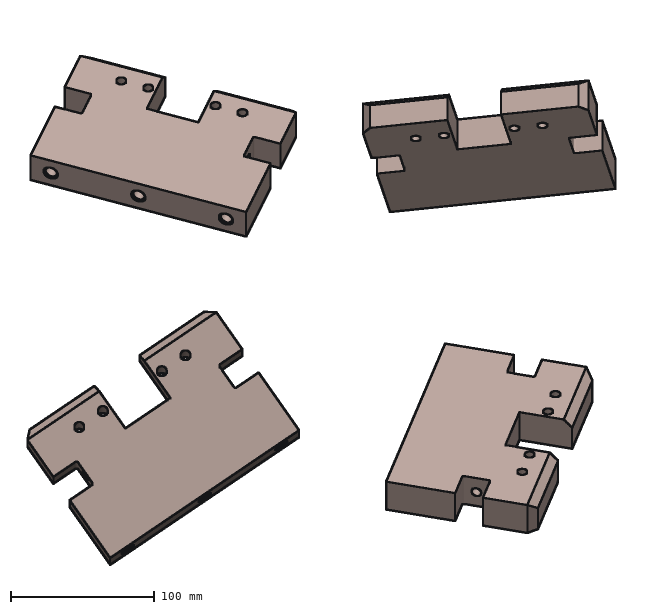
import cadquery as cq
import math

length = 160.0
width = 108.0
height = 25.0
chamfer = 6.0

slot_width = 38.0
slot_depth = 38.0

notch_size = 20.0
notch_front = 50.0
notch_radius = 1.3

pin_diameter = 6.9
pin_offsets = (25.0, 45.0)
pin_setback = 19.0

front_diameter = 8.5
front_mouth_diameter = 10.5
front_depth = 32.0
front_spacing = 65.0

side_diameter = 6.9
side_depth = 24.0

drill_point_angle = 118.0


def drilled_hole(diameter, depth, mouth_diameter):
    """Conical-bottom hole cutter along +Y from the origin, with a 45 degree mouth."""
    radius = diameter / 2
    mouth_radius = mouth_diameter / 2
    point_length = radius / math.tan(math.radians(drill_point_angle / 2))
    profile = cq.Workplane("XY").moveTo(0, 0).lineTo(mouth_radius, 0)
    if mouth_radius > radius:
        profile = profile.lineTo(radius, mouth_radius - radius)
    profile = profile.lineTo(radius, depth).lineTo(0, depth + point_length).close()
    return profile.revolve(360, (0, 0, 0), (0, 1, 0))


body = cq.Workplane("XY").box(length, width, height, centered=(True, False, False))
body = body.edges(">Y and |Z").chamfer(chamfer)
body = body.faces(">Y").edges(">Z").chamfer(chamfer)

slot = cq.Workplane("XY").box(slot_width, slot_depth, height, centered=(True, False, False))
body = body.cut(slot.translate((0, width - slot_depth, 0)))

notch_floor = length / 2 - notch_size
side_hole = drilled_hole(side_diameter, side_depth, side_diameter)
for side in (-1, 1):
    notch = cq.Workplane("XY").box(notch_size, notch_size, height, centered=(True, False, False))
    inner_edges = "|Z and >X" if side < 0 else "|Z and <X"
    notch = notch.edges(inner_edges).fillet(notch_radius)
    notch_centre = side * (length - notch_size) / 2
    body = body.cut(notch.translate((notch_centre, notch_front, 0)))

    cutter = side_hole.rotate((0, 0, 0), (0, 0, 1), side * 90)
    hole_y = notch_front + notch_size / 2
    body = body.cut(cutter.translate((side * notch_floor, hole_y, height / 2)))

pin_points = [(side * x, width - pin_setback) for side in (-1, 1) for x in pin_offsets]
pins = cq.Workplane("XY").pushPoints(pin_points).circle(pin_diameter / 2).extrude(height)
body = body.cut(pins)

front_hole = drilled_hole(front_diameter, front_depth, front_mouth_diameter)
for position in (-1, 0, 1):
    body = body.cut(front_hole.translate((position * front_spacing, 0, height / 2)))

result = body